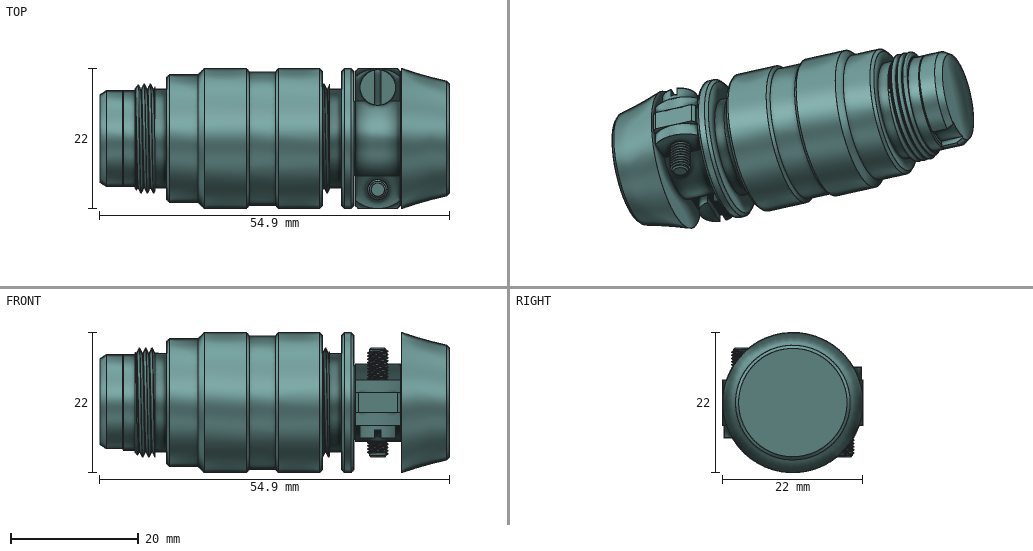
import cadquery as cq
import math

length = 54.9
max_diameter = 22.0
max_radius = max_diameter / 2

nose_radius = 7.5
nose_face_radius = 6.85
nose_chamfer = 1.05
keyway_width = 4.05
keyway_floor_radius = 6.6
nose_groove_start = 3.55
nose_groove_width = 0.15
nose_groove_depth = 0.35

neck_radius = 7.75
front_neck_start = 5.5
thread_crest_radius = 8.55
thread_pitch = 1.0
front_thread_end = 8.7
front_thread_lead_in = 0.65
front_thread_phase = 6.7
rear_thread_start = 34.6
rear_thread_end = 36.05
rear_thread_phase = 35.9

body_chamfer = 0.465
collar_start = 10.5
collar_radius = 10.05
shoulder_start = 15.4
shoulder_end = 16.4
waist_start = 23.45
waist_end = 27.55
waist_radius = 10.5
body_end = 34.9

flange_start = 37.95
flange_end = 39.85
cap_start = 47.3
cap_edge_radius = 9.0
cap_chamfer = 0.5
cap_sag = 0.1

core_radius = 5.8
clamp_start = 40.1
clamp_end = 47.15
clamp_height = 6.1
saddle_half_width = 5.9
block_height = 3.15
ear_inner = block_height / 2
ear_outer = 3.55
ear_corner_drop = 1.3
block_chamfer = 0.5

screw_offset = 8.0
screw_crest_radius = 1.6
screw_root_radius = 1.3
screw_pitch = 0.5
screw_reach = 8.55
screw_tip_chamfer = 0.3
head_radius = 2.8
head_height = 2.0
slot_width = 1.0
slot_depth = 1.2

clamp_middle = (clamp_start + clamp_end) / 2
clamp_length = clamp_end - clamp_start


def cylinder_x(radius, start, end):
    """Solid cylinder along X between two stations."""
    return cq.Workplane("YZ", origin=(start, 0, 0)).circle(radius).extrude(end - start)


def helical_ridge(root, crest, pitch, height):
    """Right-hand V-shaped ridge winding up Z, with its crest starting on the +X side at Z = 0."""
    sink = 0.05
    base_half = 0.46 * pitch
    crest_half = 0.03 * pitch
    path = cq.Wire.makeHelix(pitch, height, root)
    profile = (
        cq.Workplane("XZ")
        .moveTo(root - sink, -base_half)
        .lineTo(crest, -crest_half)
        .lineTo(crest, crest_half)
        .lineTo(root - sink, base_half)
        .close()
    )
    return profile.sweep(cq.Workplane(obj=path), isFrenet=True)


def thread_envelope(start, end, lead_in):
    """Space a thread may fill: open at full height, tapered over its first stretch if lead_in is not 0."""
    clearance = 0.55
    top = thread_crest_radius + clearance
    top_start = start + lead_in * (top - neck_radius) / (thread_crest_radius - neck_radius)
    envelope = cq.Workplane("XY").moveTo(start, 0)
    if lead_in > 0:
        envelope = envelope.lineTo(start, neck_radius)
    envelope = envelope.lineTo(top_start, top).lineTo(end, top).lineTo(end, 0).close()
    return envelope.revolve(360, (0, 0, 0), (1, 0, 0))


def coupling_thread(start, end, bottom_crest, lead_in=0):
    """Thread on the neck, trimmed between two stations; bottom_crest is a crest station on the -Z side."""
    turns_before = math.ceil((bottom_crest - start) / thread_pitch) + 1
    origin = bottom_crest - turns_before * thread_pitch
    turns = math.ceil((end - origin) / thread_pitch) + 1
    ridge = helical_ridge(neck_radius, thread_crest_radius, thread_pitch, turns * thread_pitch)
    ridge = ridge.rotate((0, 0, 0), (0, 1, 0), 90).translate((origin, 0, 0))
    return ridge.intersect(thread_envelope(start, end, lead_in))


def make_barrel():
    """All round stretches from the nose to the end cap, turned about X."""
    groove_end = nose_groove_start + nose_groove_width
    cap_edge = length - cap_chamfer
    cap_middle = ((cap_start + cap_edge) / 2, (max_radius + cap_edge_radius) / 2 - cap_sag)
    outline = (
        cq.Workplane("XY")
        .moveTo(0, 0)
        .lineTo(0, nose_face_radius)
        .lineTo(nose_chamfer, nose_radius)
        .lineTo(nose_groove_start, nose_radius)
        .lineTo(nose_groove_start, nose_radius - nose_groove_depth)
        .lineTo(groove_end, nose_radius)
        .lineTo(front_neck_start, nose_radius)
        .lineTo(front_neck_start, neck_radius)
        .lineTo(collar_start, neck_radius)
        .lineTo(collar_start, collar_radius - body_chamfer)
        .lineTo(collar_start + body_chamfer, collar_radius)
        .lineTo(shoulder_start, collar_radius)
        .lineTo(shoulder_end, max_radius)
        .lineTo(waist_start - body_chamfer, max_radius)
        .lineTo(waist_start, waist_radius)
        .lineTo(waist_end, waist_radius)
        .lineTo(waist_end + body_chamfer, max_radius)
        .lineTo(body_end - body_chamfer, max_radius)
        .lineTo(body_end, max_radius - body_chamfer)
        .lineTo(body_end, neck_radius)
        .lineTo(flange_start, neck_radius)
        .lineTo(flange_start, max_radius - body_chamfer)
        .lineTo(flange_start + body_chamfer, max_radius)
        .lineTo(flange_end - body_chamfer, max_radius)
        .lineTo(flange_end, max_radius - body_chamfer)
        .lineTo(flange_end, core_radius)
        .lineTo(cap_start, core_radius)
        .lineTo(cap_start, max_radius)
        .threePointArc(cap_middle, (cap_edge, cap_edge_radius))
        .lineTo(length, cap_edge_radius - cap_chamfer)
        .lineTo(length, 0)
        .close()
    )
    return outline.revolve(360, (0, 0, 0), (1, 0, 0))


def keyway_cutter():
    """Round-floored keyway along the underside of the nose."""
    slab = cq.Workplane("XY").box(nose_groove_start, keyway_width, nose_radius, centered=(False, True, False))
    slab = slab.translate((0, 0, -nose_radius))
    return slab.cut(cylinder_x(keyway_floor_radius, 0, nose_groove_start))


def make_clamp():
    """Two arched saddles whose round-ended ears close on a middle block."""
    saddle = (
        cq.Workplane("YZ", origin=(clamp_start, 0, 0))
        .moveTo(-saddle_half_width, -ear_outer)
        .lineTo(-saddle_half_width, ear_outer)
        .threePointArc((0, clamp_height), (saddle_half_width, ear_outer))
        .lineTo(saddle_half_width, -ear_outer)
        .threePointArc((0, -clamp_height), (-saddle_half_width, -ear_outer))
        .close()
        .extrude(clamp_length)
    )
    ear_corner = max_radius - ear_corner_drop
    ears = (
        cq.Workplane("XY", origin=(0, 0, -ear_outer))
        .moveTo(clamp_start, -ear_corner)
        .lineTo(clamp_start, ear_corner)
        .threePointArc((clamp_middle, max_radius), (clamp_end, ear_corner))
        .lineTo(clamp_end, -ear_corner)
        .threePointArc((clamp_middle, -max_radius), (clamp_start, -ear_corner))
        .close()
        .extrude(2 * ear_outer)
    )
    block = (
        cq.Workplane("XY")
        .box(clamp_length, max_diameter, block_height)
        .edges("|Z")
        .chamfer(block_chamfer)
        .translate((clamp_middle, 0, 0))
    )
    return saddle.union(ears).union(block)


def make_screw():
    """Threaded clamp screw on the Z axis, tip up, with its head below the lower ear."""
    thread_top = screw_reach - screw_tip_chamfer - screw_pitch / 2
    turns = math.ceil((thread_top - ear_outer) / screw_pitch)
    thread_height = turns * screw_pitch
    shank = (
        cq.Workplane("XY")
        .circle(screw_root_radius)
        .extrude(screw_reach)
        .faces(">Z")
        .chamfer(screw_tip_chamfer)
    )
    ridge = helical_ridge(screw_root_radius, screw_crest_radius, screw_pitch, thread_height)
    ridge = ridge.translate((0, 0, thread_top - thread_height))
    head = cq.Workplane("XY", origin=(0, 0, -ear_outer)).circle(head_radius).extrude(-head_height)
    return shank.union(ridge), head


def slot_cutter():
    """Driver slot across the screw head, running along Y."""
    slot = cq.Workplane("XY").box(slot_width, 2 * head_radius, slot_depth, centered=(True, True, False))
    return slot.translate((0, 0, -ear_outer - head_height))


def place_screw_piece(piece, turn):
    """Move a piece from the Z axis to the -Y ear, then turn it about X."""
    return piece.translate((clamp_middle, -screw_offset, 0)).rotate((0, 0, 0), (1, 0, 0), turn)


result = make_barrel().cut(keyway_cutter())
front_thread = coupling_thread(front_neck_start, front_thread_end, front_thread_phase, front_thread_lead_in)
rear_thread = coupling_thread(rear_thread_start, rear_thread_end, rear_thread_phase)
result = result.union(front_thread).union(rear_thread)
result = result.union(make_clamp())

shank, head = make_screw()
slot = slot_cutter()
for turn in (0, 180):
    result = result.union(place_screw_piece(shank, turn))
    result = result.union(place_screw_piece(head, turn))
    result = result.cut(place_screw_piece(slot, turn))